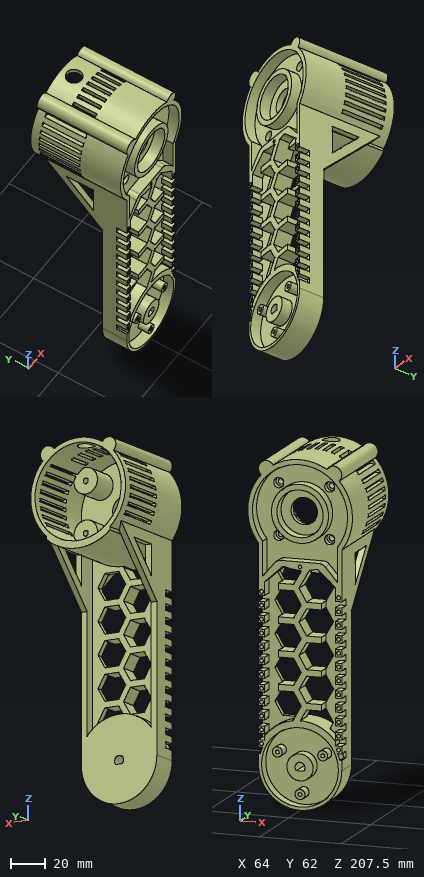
import cadquery as cq
import math

OVERALL_LENGTH = 207.5
HOUSING_DEPTH = 62.0
HOUSING_RADIUS = 64.0 / 2
HOUSING_BORE_RADIUS = 29.0
PAD_RADIUS = 33.5
ARM_DEPTH = 17.0
ARM_HALF_WIDTH = 25.5
FRONT_DEPTH = 7.0
WEB = 4.0
PLATE_BACK = FRONT_DEPTH + WEB
RAIL_INNER = ARM_HALF_WIDTH - WEB
JOINT_Z = ARM_HALF_WIDTH + HOUSING_RADIUS - OVERALL_LENGTH

RECESS_HALF_WIDTH = 22.8
RING_DIAMETER = 34.9
RING_BORE_DIAMETER = 28.2
SHAFT_HOLE_DIAMETER = 16.0
RING_FLOOR_Y = FRONT_DEPTH
MOUNT_BACK = PLATE_BACK
SCREW_OFFSET = 15.5
SCREW_DIAMETER = 3.3
SCREW_HEAD_DIAMETER = 6.0
SCREW_HEAD_DEPTH = 4.0
STANDOFF_DIAMETER = 15.8

BAR_TOP_Z = -28.5
BAR_TOP_HALF_WIDTH = 13.0
BAR_END_TOP_Z = -38.5
BAR_CORNER_RADIUS = 5.0
BAR_INNER_HALF_WIDTH = 10.8
BAR_INNER_Z = -32.2
BAR_END_BOTTOM_Z = -42.0
PIN_HOLE_DIAMETER = 2.0
PIN_HOLE_Z = -31.3

LOBE_DIAMETER = 10.0
LOBE_X = 20.5
LOBE_Z = 24.9
SLOT_WIDTH = 2.0
SLOT_PITCH = 5.0
SLOT_FRONT_Y = 28.2
SIDE_SLOT_BACK_Y = 56.2
TOP_SLOT_BACK_Y = 44.0
CABLE_HOLE_DIAMETER = 10.0
CABLE_HOLE_Y = 53.1

GUSSET_BACK_Y = 56.5
WINDOW_FRONT_Y = 23.0
WINDOW_TOP_Z = -26.1
WINDOW_LEG = 18.7

HEX_FLATS = 16.0
HEX_PITCH_Z = HEX_FLATS + WEB
HEX_COLUMN_X = HEX_PITCH_Z * math.cos(math.radians(30)) / 2
HEX_SIDE = HEX_FLATS / math.sqrt(3)
HEX_ROWS = 5
HEX_TOP_LEFT_Z = -34.0
LATTICE_HALF_WIDTH = HEX_COLUMN_X + HEX_SIDE / 2

NOTCH_COUNT = 12
NOTCH_PITCH = 8.17
NOTCH_HEIGHT = 3.7
NOTCH_TOP_Z = -51.9
TOOTH_HOLE_DIAMETER = 2.3

JOINT_RING_RADIUS = 27.5
JOINT_RECESS_DIAMETER = 46.9
JOINT_BOSS_DIAMETER = 16.0
JOINT_HOLE_DIAMETER = 6.0
JOINT_HOLE_FLAT = 2.0
JOINT_HUB_RADIUS = 25.0
POST_DIAMETER = 6.0
POST_HOLE_DIAMETER = 2.3
POST_CIRCLE_RADIUS = 16.0


def sketch(y):
    """Front-facing sketch plane at depth y: local X is X, local Y is Z."""
    return cq.Workplane("XZ", origin=(0, y, 0))


def disc(diameter, y0, y1, x=0.0, z=0.0):
    return sketch(y0).center(x, z).circle(diameter / 2).extrude(y0 - y1)


def prism(points, y0, y1):
    return sketch(y0).polyline(points).close().extrude(y0 - y1)


def box(x0, x1, y0, y1, z0, z1):
    return cq.Workplane("XY").box(x1 - x0, y1 - y0, z1 - z0, centered=False).translate((x0, y0, z0))


def mirrored(points):
    """Close a left-right symmetric outline from its right half."""
    return points + [(-x, z) for x, z in reversed(points)]


def side_walls():
    """Both rails with their triangular, windowed gussets, as one profile along X."""
    top_z = -math.sqrt(HOUSING_RADIUS**2 - ARM_HALF_WIDTH**2)
    profile = [
        (0, 0),
        (0, JOINT_Z),
        (ARM_DEPTH, JOINT_Z),
        (ARM_DEPTH, top_z - (GUSSET_BACK_Y - ARM_DEPTH)),
        (GUSSET_BACK_Y, top_z),
        (GUSSET_BACK_Y, 0),
    ]
    window = [
        (WINDOW_FRONT_Y, WINDOW_TOP_Z),
        (WINDOW_FRONT_Y + WINDOW_LEG, WINDOW_TOP_Z),
        (WINDOW_FRONT_Y, WINDOW_TOP_Z - WINDOW_LEG),
    ]
    plane = cq.Workplane("YZ")
    slab = plane.polyline(profile).close().extrude(ARM_HALF_WIDTH, both=True)
    slab = slab.cut(plane.polyline(window).close().extrude(ARM_HALF_WIDTH, both=True))
    gap = box(-RAIL_INNER, RAIL_INNER, 0, HOUSING_DEPTH, JOINT_Z, 0)
    return slab.cut(gap)


def housing_slots():
    slots = cq.Workplane("XY")
    for i in range(-3, 5):
        z = i * SLOT_PITCH
        slots = slots.union(
            box(-HOUSING_RADIUS, HOUSING_RADIUS, SLOT_FRONT_Y, SIDE_SLOT_BACK_Y,
                z - SLOT_WIDTH / 2, z + SLOT_WIDTH / 2)
        )
    for i in range(-3, 4):
        x = i * SLOT_PITCH
        slots = slots.union(
            box(x - SLOT_WIDTH / 2, x + SLOT_WIDTH / 2, SLOT_FRONT_Y, TOP_SLOT_BACK_Y,
                0, HOUSING_RADIUS)
        )
    return slots


def body():
    shell = disc(2 * HOUSING_RADIUS, 0, HOUSING_DEPTH)
    pad = disc(2 * PAD_RADIUS, 0, HOUSING_DEPTH)
    pad = pad.intersect(box(-RAIL_INNER, RAIL_INNER, 0, HOUSING_DEPTH, -PAD_RADIUS, 0))
    plate = box(-ARM_HALF_WIDTH, ARM_HALF_WIDTH, 0, PLATE_BACK, JOINT_Z, 0)
    shell = shell.union(pad).union(side_walls()).union(plate)
    shell = shell.cut(housing_slots())
    for side in (-1, 1):
        shell = shell.union(disc(LOBE_DIAMETER, 0, HOUSING_DEPTH, side * LOBE_X, LOBE_Z))
    shell = shell.cut(disc(2 * HOUSING_BORE_RADIUS, MOUNT_BACK, HOUSING_DEPTH))
    cable_hole = cq.Workplane("XY").center(0, CABLE_HOLE_Y).circle(CABLE_HOLE_DIAMETER / 2)
    return shell.cut(cable_hole.extrude(HOUSING_RADIUS))


def motor_recess():
    """Round recess that runs down between the rails to the crossbar."""
    outline = mirrored([
        (RECESS_HALF_WIDTH, 0),
        (RECESS_HALF_WIDTH, BAR_END_TOP_Z),
        (BAR_TOP_HALF_WIDTH + 0.8, BAR_TOP_Z),
    ])
    lower = prism(outline, 0, FRONT_DEPTH)
    corners = cq.selectors.BoxSelector(
        (-RECESS_HALF_WIDTH + 2, -2, BAR_TOP_Z - 2), (RECESS_HALF_WIDTH - 2, FRONT_DEPTH + 2, BAR_TOP_Z + 2))
    lower = lower.edges("|Y").edges(corners).fillet(BAR_CORNER_RADIUS)
    return lower.union(disc(2 * HOUSING_BORE_RADIUS, 0, FRONT_DEPTH).intersect(
        box(-HOUSING_RADIUS, HOUSING_RADIUS, 0, FRONT_DEPTH, BAR_TOP_Z, HOUSING_RADIUS)))


def add_motor_mount(part):
    part = part.cut(motor_recess())
    part = part.union(disc(RING_DIAMETER, 0, MOUNT_BACK))
    part = part.cut(disc(RING_BORE_DIAMETER, 0, RING_FLOOR_Y))
    part = part.cut(disc(SHAFT_HOLE_DIAMETER, 0, HOUSING_DEPTH))
    for x in (-SCREW_OFFSET, SCREW_OFFSET):
        for z in (-SCREW_OFFSET, SCREW_OFFSET):
            part = part.union(disc(STANDOFF_DIAMETER, FRONT_DEPTH, SLOT_FRONT_Y, x, z))
            part = part.cut(disc(SCREW_DIAMETER, 0, HOUSING_DEPTH, x, z))
            head = disc(SCREW_HEAD_DIAMETER, FRONT_DEPTH, FRONT_DEPTH + SCREW_HEAD_DEPTH, x, z)
            part = part.cut(head)
    return part


def hexagons(y0, y1):
    """Two staggered columns of through cells."""
    cells = cq.Workplane("XY")
    for side, top_z in ((-1, HEX_TOP_LEFT_Z), (1, HEX_TOP_LEFT_Z - HEX_PITCH_Z / 2)):
        centers = [(side * HEX_COLUMN_X, top_z - i * HEX_PITCH_Z) for i in range(HEX_ROWS)]
        cells = cells.union(sketch(y0).pushPoints(centers).polygon(6, 2 * HEX_SIDE).extrude(y0 - y1))
    return cells


def lattice_ends():
    """Openings past the last cells, where the raised lattice has no web."""
    rise = 2 * WEB
    top_z = HEX_TOP_LEFT_Z - HEX_PITCH_Z / 2 + HEX_FLATS / 2
    middle_z = HEX_TOP_LEFT_Z - HEX_PITCH_Z * (HEX_ROWS - 0.5) / 2
    left = HEX_COLUMN_X - HEX_SIDE / 2
    outline = [
        (left, top_z),
        (left + rise / math.sqrt(3), top_z + rise),
        (LATTICE_HALF_WIDTH, top_z + rise),
        (LATTICE_HALF_WIDTH, top_z),
    ]
    upper = prism(outline, 0, FRONT_DEPTH)
    return upper.union(upper.rotate((0, 0, middle_z), (0, 1, middle_z), 180))


def honeycomb_pocket():
    """Front pocket under the crossbar, leaving the raised lattice standing."""
    outline = mirrored([
        (BAR_INNER_HALF_WIDTH, BAR_INNER_Z),
        (RAIL_INNER, BAR_END_BOTTOM_Z),
        (RAIL_INNER, JOINT_Z),
    ])
    lattice = box(-LATTICE_HALF_WIDTH, LATTICE_HALF_WIDTH, 0, FRONT_DEPTH, JOINT_Z, 0)
    lattice = lattice.cut(hexagons(0, FRONT_DEPTH)).cut(lattice_ends())
    pocket = prism(outline, 0, FRONT_DEPTH).cut(lattice)
    cells = hexagons(0, PLATE_BACK).intersect(prism(outline, 0, PLATE_BACK))
    return pocket.union(cells).cut(disc(2 * PAD_RADIUS, 0, PLATE_BACK))


def cut_rail_notches(part):
    rail_center = (ARM_HALF_WIDTH + RAIL_INNER) / 2
    for side in (-1, 1):
        x0, x1 = sorted((side * RAIL_INNER, side * ARM_HALF_WIDTH))
        for i in range(NOTCH_COUNT):
            z = NOTCH_TOP_Z - i * NOTCH_PITCH
            part = part.cut(box(x0, x1, 0, FRONT_DEPTH, z - NOTCH_HEIGHT / 2, z + NOTCH_HEIGHT / 2))
        for i in range(NOTCH_COUNT):
            z = NOTCH_TOP_Z - (i - 0.5) * NOTCH_PITCH
            part = part.cut(disc(TOOTH_HOLE_DIAMETER, 0, FRONT_DEPTH, side * rail_center, z))
    return part


def joint_rim():
    """Rim above the joint, trimmed to the width of the arm."""
    width = box(-ARM_HALF_WIDTH, ARM_HALF_WIDTH, 0, ARM_DEPTH, JOINT_Z, 0)
    rim = disc(2 * JOINT_RING_RADIUS, 0, ARM_DEPTH, 0, JOINT_Z).intersect(width)
    return rim.union(disc(2 * ARM_HALF_WIDTH, 0, ARM_DEPTH, 0, JOINT_Z))


def add_joint(part):
    hub = disc(2 * JOINT_HUB_RADIUS, 0, ARM_DEPTH, 0, JOINT_Z)
    hub = hub.cut(disc(JOINT_RECESS_DIAMETER, 0, FRONT_DEPTH, 0, JOINT_Z))
    hub = hub.union(disc(JOINT_BOSS_DIAMETER, 0, ARM_DEPTH, 0, JOINT_Z))
    part = part.cut(disc(JOINT_RECESS_DIAMETER, 0, ARM_DEPTH, 0, JOINT_Z)).union(hub)
    for angle in (30, 150, 270):
        x = POST_CIRCLE_RADIUS * math.cos(math.radians(angle))
        z = JOINT_Z + POST_CIRCLE_RADIUS * math.sin(math.radians(angle))
        part = part.union(disc(POST_DIAMETER, 0, ARM_DEPTH, x, z))
        part = part.cut(disc(POST_HOLE_DIAMETER, 0, FRONT_DEPTH, x, z))
    radius = JOINT_HOLE_DIAMETER / 2
    above_flat = box(-radius, radius, 0, ARM_DEPTH, JOINT_Z - JOINT_HOLE_FLAT, JOINT_Z + radius)
    return part.cut(disc(JOINT_HOLE_DIAMETER, 0, ARM_DEPTH, 0, JOINT_Z).intersect(above_flat))


arm = add_motor_mount(body())
arm = arm.cut(honeycomb_pocket())
arm = arm.cut(disc(PIN_HOLE_DIAMETER, 0, FRONT_DEPTH, 0, PIN_HOLE_Z))
arm = arm.union(joint_rim())
arm = cut_rail_notches(arm)
result = add_joint(arm)